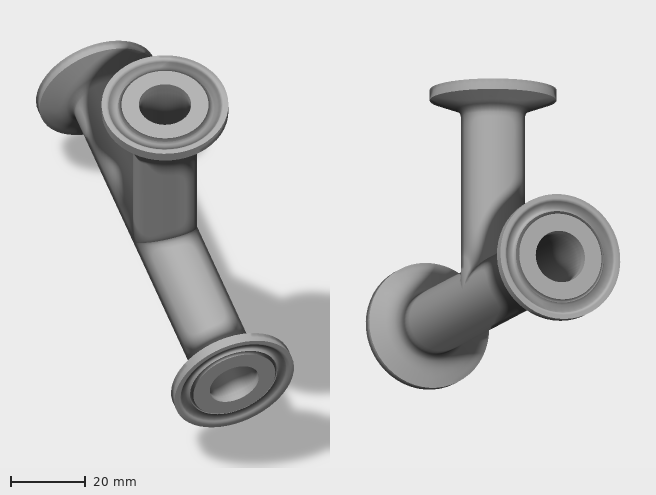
import cadquery as cq
import math

run_length = 110.0
arm_length = run_length / 2
tube_radius = 17.3 / 2
bore_radius = 14.0 / 2
flange_radius = 34.0 / 2
rim_thickness = 2.9
cone_angle = math.radians(20)
neck_fillet = 2.0

groove_mid_radius = 13.8
groove_half_width = 2.1
lip_width = 0.8
groove_wall_angle = math.radians(70)


def flange_arm():
    """Solid arm along +Z, ending in a flange with a conical back."""
    cone_height = (flange_radius - tube_radius) * math.tan(cone_angle)
    rim_z = arm_length - rim_thickness
    neck_z = rim_z - cone_height

    tangent_length = neck_fillet * math.tan((math.pi / 2 - cone_angle) / 2)
    tube_tangent = (tube_radius, neck_z - tangent_length)
    cone_tangent = (
        tube_radius + tangent_length * math.cos(cone_angle),
        neck_z + tangent_length * math.sin(cone_angle),
    )
    return (
        cq.Workplane("XZ")
        .lineTo(tube_radius, 0)
        .lineTo(*tube_tangent)
        .tangentArcPoint(cone_tangent, relative=False)
        .lineTo(flange_radius, rim_z)
        .lineTo(flange_radius, arm_length)
        .lineTo(0, arm_length)
        .close()
        .revolve(360, (0, 0, 0), (0, 1, 0))
    )


def gasket_groove():
    """Ring to be cut from the sealing face at the end of the +Z arm."""
    bottom_half_width = groove_half_width - lip_width
    lip_radius = lip_width / math.sin(groove_wall_angle)
    bottom_radius = bottom_half_width / math.sin(groove_wall_angle)
    lip_drop = lip_radius * (1 - math.cos(groove_wall_angle))
    bottom_drop = bottom_radius * (1 - math.cos(groove_wall_angle))

    lip_z = arm_length - lip_drop
    bottom_z = lip_z - bottom_drop
    return (
        cq.Workplane("XZ")
        .moveTo(groove_mid_radius + groove_half_width, arm_length)
        .lineTo(groove_mid_radius - groove_half_width, arm_length)
        .tangentArcPoint((groove_mid_radius - bottom_half_width, lip_z), relative=False)
        .threePointArc(
            (groove_mid_radius, bottom_z),
            (groove_mid_radius + bottom_half_width, lip_z),
        )
        .tangentArcPoint((groove_mid_radius + groove_half_width, arm_length), relative=False)
        .close()
        .revolve(360, (0, 0, 0), (0, 1, 0))
    )


def along_x(shape, angle):
    """Turn a +Z shape about Y so that it points along the run."""
    return shape.rotate((0, 0, 0), (0, 1, 0), angle)


branch = flange_arm().cut(gasket_groove())
run_right = along_x(branch, 90)
run_left = along_x(branch, -90)

tee = run_right.union(run_left).union(branch)

run_bore = cq.Workplane("YZ").circle(bore_radius).extrude(arm_length, both=True)
branch_bore = cq.Workplane("XY").circle(bore_radius).extrude(arm_length)

result = tee.cut(run_bore).cut(branch_bore)